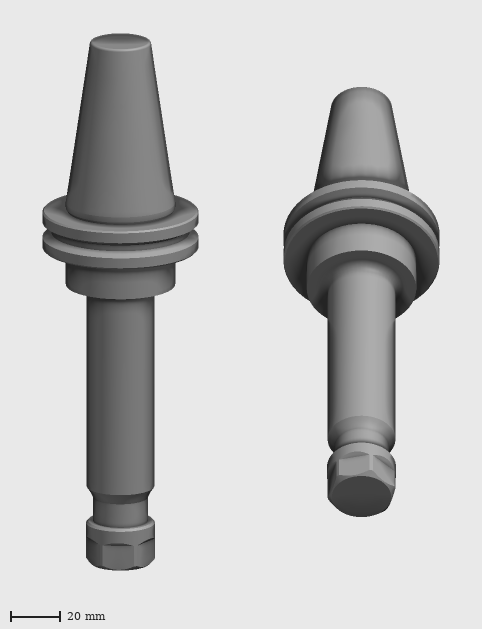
import cadquery as cq
import math

total_length = 220.6
nut_top = 17.9
neck_fillet_start = 27.8
shaft_bottom = 32.5
collar_bottom = 117.8
flange_bottom = 133.0
flange_top = 149.2
cone_bottom = 152.5

neck_diameter = 22.3
shaft_diameter = 27.5
collar_diameter = 44.5
flange_diameter = 63.5
groove_diameter = 56.3
nut_diameter = 28.0

taper_ratio = 7 / 24
groove_floor_width = 2.5
groove_mouth_width = 6.5
shaft_fillet = 3.5
flange_chamfer = 0.7
tip_fillet = 1.0
relief_height = 1.0
relief_depth = 0.7
neck_flare_bow = 0.2

flat_count = 6
across_flats = 25.0
flat_height = 10.5
nut_top_chamfer = 0.9
nut_bottom_chamfer = 2.0

neck_radius = neck_diameter / 2
shaft_radius = shaft_diameter / 2
collar_radius = collar_diameter / 2
flange_radius = flange_diameter / 2
groove_radius = groove_diameter / 2
groove_center = (flange_bottom + flange_top) / 2
tip_radius = collar_radius - taper_ratio * (total_length - cone_bottom) / 2


def make_shank():
    """Neck, shaft and collar below the flange, turned about Z."""
    flare_middle = (
        (neck_radius + shaft_radius) / 2 - neck_flare_bow,
        (neck_fillet_start + shaft_bottom) / 2,
    )
    arc_offset = shaft_fillet * (1 - math.sqrt(0.5))
    fillet_middle = (shaft_radius + arc_offset, collar_bottom - arc_offset)
    return (
        cq.Workplane("XZ")
        .moveTo(0, 0)
        .lineTo(neck_radius, 0)
        .lineTo(neck_radius, neck_fillet_start)
        .threePointArc(flare_middle, (shaft_radius, shaft_bottom))
        .lineTo(shaft_radius, collar_bottom - shaft_fillet)
        .threePointArc(fillet_middle, (shaft_radius + shaft_fillet, collar_bottom))
        .lineTo(collar_radius, collar_bottom)
        .lineTo(collar_radius, flange_bottom)
        .lineTo(0, flange_bottom)
        .close()
        .revolve(360, (0, 0, 0), (0, 1, 0))
    )


def make_flange():
    """Chamfered disc with a trapezoidal gripper groove around its rim."""
    disc = (
        cq.Workplane("XY", origin=(0, 0, flange_bottom))
        .circle(flange_radius)
        .extrude(flange_top - flange_bottom)
        .edges()
        .chamfer(flange_chamfer)
    )
    half_floor = groove_floor_width / 2
    half_mouth = groove_mouth_width / 2
    groove = (
        cq.Workplane("XZ")
        .moveTo(groove_radius, groove_center - half_floor)
        .lineTo(flange_radius, groove_center - half_mouth)
        .lineTo(flange_radius, groove_center + half_mouth)
        .lineTo(groove_radius, groove_center + half_floor)
        .close()
        .revolve(360, (0, 0, 0), (0, 1, 0))
    )
    return disc.cut(groove)


def make_taper():
    """Tool taper with a rounded tip and a shallow relief above the flange."""
    relief_radius = collar_radius - relief_depth
    relief_top = flange_top + relief_height
    taper = (
        cq.Workplane("XZ")
        .moveTo(0, flange_top)
        .lineTo(relief_radius, flange_top)
        .lineTo(relief_radius, relief_top)
        .lineTo(collar_radius, relief_top)
        .lineTo(collar_radius, cone_bottom)
        .lineTo(tip_radius, total_length)
        .lineTo(0, total_length)
        .close()
        .revolve(360, (0, 0, 0), (0, 1, 0))
    )
    return taper.faces(">Z").edges().fillet(tip_fillet)


def make_nut():
    """Round clamping nut with wrench flats that run out at 45 degrees."""
    nut = cq.Workplane("XY").circle(nut_diameter / 2).extrude(nut_top)
    nut = nut.faces(">Z").edges().chamfer(nut_top_chamfer)
    nut = nut.faces("<Z").edges().chamfer(nut_bottom_chamfer)
    flat_distance = across_flats / 2
    cut_depth = nut_diameter / 2
    flat_cutter = (
        cq.Workplane("XZ")
        .moveTo(flat_distance, 0)
        .lineTo(flat_distance, flat_height)
        .lineTo(flat_distance + cut_depth, flat_height + cut_depth)
        .lineTo(flat_distance + cut_depth, 0)
        .close()
        .extrude(nut_diameter / 2, both=True)
    )
    for index in range(flat_count):
        angle = index * 360 / flat_count
        nut = nut.cut(flat_cutter.rotate((0, 0, 0), (0, 0, 1), angle))
    return nut


result = make_shank().union(make_flange()).union(make_taper()).union(make_nut())